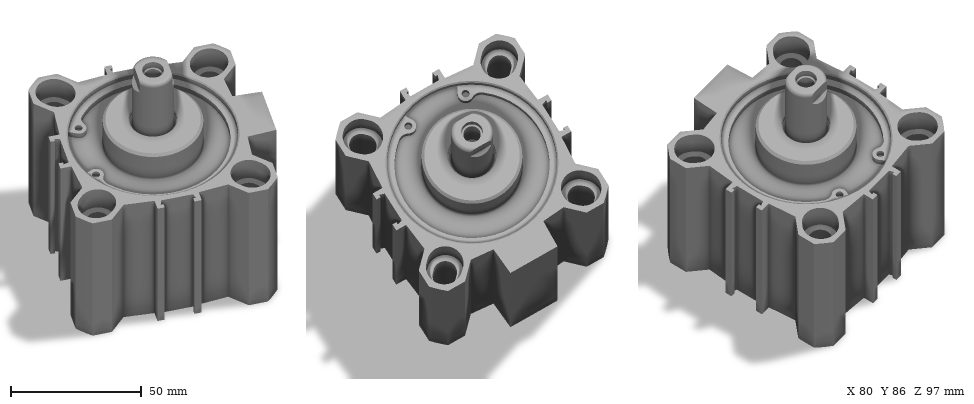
import cadquery as cq
import math


housing_height = 62.0
half_width = 40.0
lug_flat_start = 27.1
lug_flat_end = 34.7
side_corner = 20.7
side_slope = math.tan(math.radians(5))

rail_half_span = 8.75
rail_end = 39.0
rail_lip_half_gap = 5.9
rail_lip_depth = 1.8
rail_groove_half_width = 7.0
rail_floor_half_width = 6.3
rail_floor = 35.1

port_end = 46.0
port_half_width_end = 10.5
port_half_width_base = 11.1

mount_offset = 30.4
mount_stretch = 1.5
mount_hole_diameter = 9.0
mount_counterbore_diameter = 14.0
mount_counterbore_depth = 10.0

bore_diameter = 65.1
bore_chamfer = 0.5
cover_face_z = 56.7
cover_flange_thickness = 15.0
bore_floor_z = cover_face_z - cover_flange_thickness

ring_outer_diameter = 68.2
ring_inner_diameter = 59.3
ring_thickness = 2.5
ring_lug_x = 12.75
ring_lug_y = -26.0
ring_lug_radius = 3.0
ring_lug_hole_diameter = 3.0
ring_lug_blend = 4.0
ring_end_angle = math.radians(30)
ring_gap_top = -20.0

boss_diameter = 38.5
boss_top_z = 70.0
boss_chamfer = 1.0
boss_root_fillet = 0.8
wiper_mouth_diameter = 18.8
wiper_diameter = 18.0
wiper_seat_diameter = 17.7
wiper_depth = 1.5
wiper_lip_height = 1.0
rod_hole_diameter = 16.54

rod_diameter = 16.0
rod_top_z = 97.0
rod_fillet = 1.6
flat_half_width = 6.5
flat_length = 5.7
thread_relief_diameter = 8.25
thread_relief_depth = 3.0
thread_core_diameter = 6.65
thread_depth = 18.0
drill_half_angle = math.radians(59)


def side_distance(along):
    """Distance of a side wall from the axis, at a distance along from the middle of the side."""
    corner_distance = half_width - (lug_flat_start - side_corner)
    return corner_distance + (side_corner - abs(along)) * side_slope


def mirrored(half_points):
    """Complete one half of a side's outline, listed from its corner inward, with its mirror image."""
    return half_points + [(-along, out) for along, out in reversed(half_points)]


def side_points(feature_half):
    """One side, from corner to corner, with a feature in its middle, as (along, outward) pairs."""
    corner_half = [
        (-lug_flat_end, half_width),
        (-lug_flat_start, half_width),
        (-side_corner, side_distance(side_corner)),
    ]
    return mirrored(corner_half + feature_half)


def rail_half():
    lip_inner = rail_end - rail_lip_depth
    return [
        (-rail_half_span, side_distance(rail_half_span)),
        (-rail_half_span, rail_end),
        (-rail_lip_half_gap, rail_end),
        (-rail_lip_half_gap, lip_inner),
        (-rail_groove_half_width, lip_inner),
        (-rail_floor_half_width, rail_floor),
    ]


def port_half():
    return [
        (-port_half_width_base, side_distance(port_half_width_base)),
        (-port_half_width_end, port_end),
    ]


def housing_outline():
    """Clockwise outline: the +Y, +X, -Y and -X sides, joined by shallow arcs around the axis."""
    sides = [
        side_points(port_half()),
        [(out, -along) for along, out in side_points(rail_half())],
        [(-along, -out) for along, out in side_points(rail_half())],
        [(-out, along) for along, out in side_points(rail_half())],
    ]
    corner_radius = math.hypot(half_width, lug_flat_end)
    outline = cq.Workplane("XY").moveTo(*sides[-1][-1])
    for side in sides:
        outline = outline.radiusArc(side[0], corner_radius)
        for point in side[1:]:
            outline = outline.lineTo(*point)
    return outline.close()


def mount_slot(side_x, side_y, diameter, depth):
    """Cutter for one corner's slot, sunk from the top of the housing."""
    diagonal = math.degrees(math.atan2(side_y, side_x))
    return (
        cq.Workplane("XY", origin=(side_x * mount_offset, side_y * mount_offset, housing_height))
        .slot2D(diameter + mount_stretch, diameter, diagonal)
        .extrude(-depth)
    )


def cylinder(diameter, bottom_z, top_z):
    return cq.Workplane("XY", origin=(0, 0, bottom_z)).circle(diameter / 2).extrude(top_z - bottom_z)


def make_housing():
    body = housing_outline().extrude(housing_height)
    body = body.cut(cylinder(bore_diameter, bore_floor_z, housing_height))
    body = body.faces(">Z").edges(cq.selectors.RadiusNthSelector(0)).chamfer(bore_chamfer)
    body = body.cut(cylinder(ring_outer_diameter, cover_face_z, cover_face_z + ring_thickness))
    for side_x in (-1, 1):
        for side_y in (-1, 1):
            body = body.cut(mount_slot(side_x, side_y, mount_hole_diameter, housing_height))
            body = body.cut(
                mount_slot(side_x, side_y, mount_counterbore_diameter, mount_counterbore_depth)
            )
    return body


def ring_lug(side):
    """Round eye with a straight outer end that runs tangentially from the eye into the ring."""
    end_x = -side * math.sin(ring_end_angle)
    end_y = math.cos(ring_end_angle)
    center = (side * ring_lug_x, ring_lug_y)
    tangent = (
        center[0] - side * ring_lug_radius * math.cos(ring_end_angle),
        center[1] - ring_lug_radius * math.sin(ring_end_angle),
    )
    leg_length = ring_lug_radius / 2
    leg = [
        center,
        tangent,
        (tangent[0] - end_x * leg_length, tangent[1] - end_y * leg_length),
        (center[0] - end_x * leg_length, center[1] - end_y * leg_length),
    ]
    plane = cq.Workplane("XY", origin=(0, 0, cover_face_z))
    eye = plane.center(*center).circle(ring_lug_radius).extrude(ring_thickness)
    return eye.union(plane.polyline(leg).close().extrude(ring_thickness))


def ring_gap():
    """Wedge between the slanted ring ends, widening away from the axis."""
    slant = math.tan(ring_end_angle)
    gap_bottom = -ring_outer_diameter
    half_at_eye = ring_lug_x - ring_lug_radius / math.cos(ring_end_angle)
    half_top = half_at_eye - (ring_gap_top - ring_lug_y) * slant
    half_bottom = half_at_eye + (ring_lug_y - gap_bottom) * slant
    wedge = [
        (-half_top, ring_gap_top),
        (half_top, ring_gap_top),
        (half_bottom, gap_bottom),
        (-half_bottom, gap_bottom),
    ]
    return cq.Workplane("XY", origin=(0, 0, cover_face_z)).polyline(wedge).close().extrude(ring_thickness)


def lug_blend_corner(side):
    """Point where the eye meets the inner edge of the ring, on the side away from the gap."""
    inner_radius = ring_inner_diameter / 2
    distance = math.hypot(ring_lug_x, ring_lug_y)
    spread = math.acos(
        (inner_radius**2 + distance**2 - ring_lug_radius**2) / (2 * inner_radius * distance)
    )
    angle = math.atan2(ring_lug_y, ring_lug_x) + spread
    x = side * inner_radius * math.cos(angle)
    return (x, inner_radius * math.sin(angle), cover_face_z + ring_thickness / 2)


def make_ring():
    ring = (
        cq.Workplane("XY", origin=(0, 0, cover_face_z))
        .circle(ring_outer_diameter / 2)
        .circle(ring_inner_diameter / 2)
        .extrude(ring_thickness)
        .cut(ring_gap())
    )
    for side in (-1, 1):
        ring = ring.union(ring_lug(side))
    for side in (-1, 1):
        corner = cq.selectors.NearestToPointSelector(lug_blend_corner(side))
        ring = ring.edges("|Z").edges(corner).fillet(ring_lug_blend)
    return (
        ring.faces(">Z").workplane(origin=(0, 0, 0))
        .pushPoints([(-ring_lug_x, ring_lug_y), (ring_lug_x, ring_lug_y)])
        .hole(ring_lug_hole_diameter)
    )


def make_cover():
    """Flange and boss turned as one half section; x is the radius and y is the height."""
    boss_radius = boss_diameter / 2
    mouth_depth = (wiper_mouth_diameter - wiper_diameter) / 2
    lip_top_z = boss_top_z - wiper_depth
    return (
        cq.Workplane("XZ")
        .moveTo(rod_hole_diameter / 2, bore_floor_z)
        .lineTo(bore_diameter / 2, bore_floor_z)
        .lineTo(bore_diameter / 2, cover_face_z)
        .lineTo(boss_radius + boss_root_fillet, cover_face_z)
        .radiusArc((boss_radius, cover_face_z + boss_root_fillet), boss_root_fillet)
        .lineTo(boss_radius, boss_top_z - boss_chamfer)
        .lineTo(boss_radius - boss_chamfer, boss_top_z)
        .lineTo(wiper_mouth_diameter / 2, boss_top_z)
        .lineTo(wiper_diameter / 2, boss_top_z - mouth_depth)
        .lineTo(wiper_diameter / 2, lip_top_z)
        .lineTo(wiper_seat_diameter / 2, lip_top_z)
        .lineTo(rod_hole_diameter / 2, lip_top_z - wiper_lip_height)
        .close()
        .revolve(360, (0, 0, 0), (0, 1, 0))
    )


def wrench_flat(side):
    """Cutter for one flat at the rod end, closed below by a 45 degree ramp."""
    outside = rod_diameter
    flat_bottom_z = rod_top_z - flat_length
    profile = [
        (side * flat_half_width, rod_top_z),
        (side * flat_half_width, flat_bottom_z),
        (side * outside, flat_bottom_z - (outside - flat_half_width)),
        (side * outside, rod_top_z),
    ]
    return cq.Workplane("YZ").polyline(profile).close().extrude(rod_diameter / 2, both=True)


def thread_hole():
    """Tapped hole with a wider mouth and a drill point, turned around the rod axis."""
    relief_radius = thread_relief_diameter / 2
    core_radius = thread_core_diameter / 2
    relief_z = rod_top_z - thread_relief_depth
    core_z = rod_top_z - thread_depth
    profile = [
        (0, rod_top_z),
        (relief_radius, rod_top_z),
        (relief_radius, relief_z),
        (core_radius, relief_z),
        (core_radius, core_z),
        (0, core_z - core_radius / math.tan(drill_half_angle)),
    ]
    return cq.Workplane("XZ").polyline(profile).close().revolve(360, (0, 0, 0), (0, 1, 0))


def make_rod():
    rod = cylinder(rod_diameter, bore_floor_z, rod_top_z).faces(">Z").edges().fillet(rod_fillet)
    for side in (-1, 1):
        rod = rod.cut(wrench_flat(side))
    return rod.cut(thread_hole())


housing = make_housing()
snap_ring = make_ring()
rod_cover = make_cover()
piston_rod = make_rod()

result = cq.Compound.makeCompound(
    [housing.val(), snap_ring.val(), rod_cover.val(), piston_rod.val()]
)